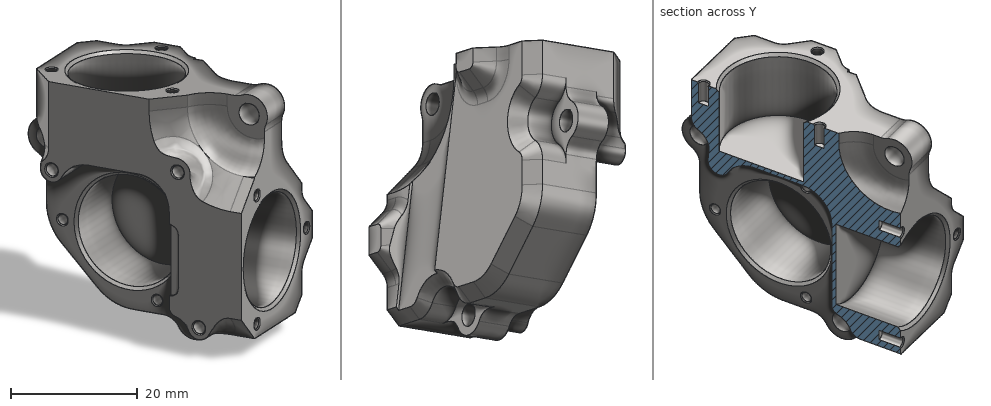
import cadquery as cq
import math

SIDE = 38.9
BACK_Y = 20.64
BACK_CHAMFER = 2.3
CUT_CORNER = 11.77
CUT_CORNER_RADIUS = 9.0

LUG_FRONT_Y = 7.85
LUG_BACK_Y = 13.75
LUG_RADIUS = 3.25
LUG_FILLET = 3.0
LUG_HOLE_DIAMETER = 3.6
LUG_OFFSET = 26.45
LUG_FAR = 36.18
NOTCH_RADIUS = 4.0

RECESS_SIDE = 26.03
RECESS_RADIUS = 5.5
RECESS_LUG_FILLET = 2.0
RECESS_FOOT_FILLET = 1.5
RELIEF_DEPTH = 0.56
RELIEF_WIDTH = 1.62
RELIEF_LENGTH = 12.0
RELIEF_CENTER_Z = 12.48
RELIEF_RADIUS = 1.6

BOSS_RADIUS = 2.0
LEFT_BOSS = (5.03, 24.15)
DIAGONAL_BOSS = (27.5, 27.5)
BOTTOM_BOSS = (
    LUG_OFFSET + math.sqrt((LUG_RADIUS + BOSS_RADIUS) ** 2 - BOSS_RADIUS**2),
    BOSS_RADIUS,
)
BOSS_BLEND = 4.5
LEFT_BLEND = 3.0
FRONT_CHAMFER = 4.5

SCALLOP_CENTER = 36.9
SCALLOP_ARC = 6.0
FRONT_SCALLOP_RADIUS = 14.48
FRONT_FLOOR_RADIUS = 4.64
BACK_FLOOR_RADIUS = 6.5

POCKET_RADIUS = 9.3
POCKET_CHAMFER = 0.5
POCKET_DEPTH = 12.0
SIDE_POCKET_CENTER = (13.0, 10.4)
FRONT_POCKET_CENTER = (14.74, 12.98)
SCREW_CIRCLE_RADIUS = 11.88
SCREW_ANGLE = 115.0
POCKET_SCREW_RADIUS = 0.86
FRONT_SCREW_RADIUS = 1.04
SCREW_CHAMFER = 0.18
SCREW_DEPTH = 4.0

BACK_BOSS_Y = 24.2
BACK_BOSS_HALF_WIDTH = 2.29
BACK_BOSS_LENGTH = 3.23
BACK_BOSS_CORNER = 0.93
BACK_BOSS_FILLET = 3.0
GROOVE_DEPTH = 0.5
GROOVE_TOP_X = 19.85
GROOVE_BOTTOM_X = 27.2
GROOVE_WIDTH = 9.64

OVER = 10.0
MARGIN = 1.0
EPS = 0.01


def front_plane(y):
    """Workplane with local axes X and Z, at depth y; negative extrusion goes to +Y."""
    return cq.Workplane("XZ", origin=(0, y, 0))


def box(x0, x1, y0, y1, z0, z1):
    return cq.Workplane("XY").box(x1 - x0, y1 - y0, z1 - z0, centered=False).translate((x0, y0, z0))


def pillar(center, radius, y0, y1):
    """Cylinder along Y."""
    return front_plane(y0).center(*center).circle(radius).extrude(y0 - y1)


def between(start, end, distance):
    """Point at a distance from start on the way to end."""
    length = math.dist(start, end)
    return tuple(a + (b - a) * distance / length for a, b in zip(start, end))


def swap(shape):
    """Mirror across the plane X = Z."""
    return shape.mirror("XY").rotate((0, 0, 0), (0, 1, 0), -90)


def body_slab():
    """Square slab with one cut-off corner and a rounded corner under the corner lug."""
    slab = front_plane(0).polyline(
        [(CUT_CORNER, 0), (SIDE, 0), (SIDE, SIDE), (0, SIDE), (0, CUT_CORNER)]
    ).close().extrude(-BACK_Y)
    rounded = (
        (CUT_CORNER, 0, CUT_CORNER_RADIUS),
        (0, CUT_CORNER, CUT_CORNER_RADIUS),
        (SIDE, SIDE, LUG_RADIUS),
    )
    for x, z, radius in rounded:
        corner = cq.selectors.BoxSelector(
            (x - MARGIN, 0, z - MARGIN), (x + MARGIN, BACK_Y, z + MARGIN)
        )
        slab = slab.edges("|Y").edges(corner).fillet(radius)
    return slab


def lug_outline_tool(reach, fillet, y0, y1, side):
    """Disc about the left lug blended by fillets into the body's left side.

    side = -1 lies outside the body (the lug itself), side = +1 inside (the notch).
    """
    half = math.sqrt((reach + fillet) ** 2 - fillet**2)
    center = (0, LUG_OFFSET)
    low = (side * fillet, LUG_OFFSET - half)
    high = (side * fillet, LUG_OFFSET + half)
    outline = (
        front_plane(y0)
        .moveTo(-side, low[1] - MARGIN)
        .lineTo(0, low[1] - MARGIN)
        .lineTo(0, low[1])
        .tangentArcPoint(between(center, low, reach), relative=False)
        .tangentArcPoint(between(center, high, reach), relative=False)
        .tangentArcPoint((0, high[1]), relative=False)
        .lineTo(0, high[1] + MARGIN)
        .lineTo(-side, high[1] + MARGIN)
        .close()
    )
    return outline.extrude(y0 - y1)


def corner_lug():
    """Corner lug with its two blends into the top and right sides."""
    rise = SIDE + LUG_FILLET - LUG_FAR
    run = math.sqrt((LUG_RADIUS + LUG_FILLET) ** 2 - rise**2)
    lug_center = (LUG_FAR, LUG_FAR)
    top_blend = (LUG_FAR - run, SIDE + LUG_FILLET)
    right_blend = (SIDE + LUG_FILLET, LUG_FAR - run)
    return (
        front_plane(LUG_FRONT_Y)
        .moveTo(top_blend[0] - MARGIN, SIDE)
        .lineTo(top_blend[0], SIDE)
        .tangentArcPoint(between(lug_center, top_blend, LUG_RADIUS), relative=False)
        .tangentArcPoint(between(lug_center, right_blend, LUG_RADIUS), relative=False)
        .tangentArcPoint((SIDE, right_blend[1]), relative=False)
        .lineTo(SIDE, right_blend[1] - MARGIN)
        .close()
        .extrude(LUG_FRONT_Y - LUG_BACK_Y)
    )


def back_boss():
    """Tapered boss behind the top pocket's rear screw, clipped to the body's top face."""
    boss = (
        front_plane(BACK_BOSS_Y)
        .center(SIDE_POCKET_CENTER[0], SIDE)
        .sketch()
        .rect(2 * BACK_BOSS_HALF_WIDTH, 2 * BACK_BOSS_LENGTH)
        .vertices()
        .fillet(BACK_BOSS_CORNER)
        .finalize()
        .extrude(BACK_BOSS_Y - BACK_Y, taper=-45)
    )
    return boss.intersect(box(0, SIDE, 0, BACK_BOSS_Y, 0, SIDE))


def with_back_bosses(body):
    """Add the bosses of the top and right pockets, filleted into the back face."""
    boss = back_boss()
    body = body.union(boss).union(swap(boss))
    reach = BACK_BOSS_Y - BACK_Y + BACK_BOSS_LENGTH + MARGIN
    half = BACK_BOSS_Y - BACK_Y + BACK_BOSS_HALF_WIDTH + MARGIN
    mid = SIDE_POCKET_CENTER[0]
    low_y = BACK_Y - EPS
    high_y = BACK_Y + EPS
    top_zone = cq.selectors.BoxSelector(
        (mid - half, low_y, SIDE - reach), (mid + half, high_y, SIDE - EPS)
    )
    right_zone = cq.selectors.BoxSelector(
        (SIDE - reach, low_y, mid - half), (SIDE - EPS, high_y, mid + half)
    )
    return body.edges(top_zone + right_zone).fillet(BACK_BOSS_FILLET)


def chamfer_back(body):
    """Chamfer the back edges of the left, bottom and cut-corner sides and of the notches."""
    level = cq.selectors.BoxSelector(
        (-EPS, BACK_Y - EPS, -EPS), (SIDE - EPS, BACK_Y + EPS, SIDE - EPS)
    )
    reach = NOTCH_RADIUS + EPS
    wanted = []
    for edge in body.edges(level).vals():
        bounds = edge.BoundingBox()
        on_left = bounds.xmin < reach and bounds.xmax < CUT_CORNER
        on_bottom = bounds.zmin < reach and bounds.zmax < CUT_CORNER
        at_level = bounds.ymin > BACK_Y - EPS
        if at_level and (on_left or on_bottom):
            wanted.append(edge)
    return body.newObject(wanted).chamfer(BACK_CHAMFER)


def cross_tangent(center_a, radius_a, center_b, radius_b):
    """End points of the upper crossing tangent between two circles, from a to b."""
    dx = center_b[0] - center_a[0]
    dz = center_b[1] - center_a[1]
    angle = math.atan2(dz, dx) + math.acos((radius_a + radius_b) / math.hypot(dx, dz))
    ux = math.cos(angle)
    uz = math.sin(angle)
    point_a = (center_a[0] + radius_a * ux, center_a[1] + radius_a * uz)
    point_b = (center_b[0] - radius_b * ux, center_b[1] - radius_b * uz)
    return point_a, point_b


def front_recess():
    """Cut down to the lugs' front face, winding around the lugs and the front screw bosses."""
    left_lug = (0, LUG_OFFSET)
    bottom_lug = (LUG_OFFSET, 0)
    rise = math.sqrt((LUG_RADIUS + RECESS_LUG_FILLET) ** 2 - RECESS_LUG_FILLET**2)
    top_fillet = (RECESS_LUG_FILLET, LUG_OFFSET + rise)
    lug_end, boss_start = cross_tangent(left_lug, LUG_RADIUS, LEFT_BOSS, BOSS_RADIUS)
    wall_z = RECESS_SIDE - RECESS_RADIUS
    blend_run = math.sqrt((RECESS_RADIUS + BOSS_RADIUS) ** 2 - (LEFT_BOSS[1] - wall_z) ** 2)
    blend = (LEFT_BOSS[0] + blend_run, wall_z)
    foot_x = RECESS_SIDE + RECESS_FOOT_FILLET
    foot_rise = math.sqrt((LUG_RADIUS + RECESS_FOOT_FILLET) ** 2 - (foot_x - LUG_OFFSET) ** 2)
    foot = (foot_x, foot_rise)
    return (
        front_plane(0)
        .moveTo(0, top_fillet[1] + MARGIN)
        .lineTo(0, top_fillet[1])
        .tangentArcPoint(between(left_lug, top_fillet, LUG_RADIUS), relative=False)
        .tangentArcPoint(lug_end, relative=False)
        .lineTo(*boss_start)
        .tangentArcPoint(between(LEFT_BOSS, blend, BOSS_RADIUS), relative=False)
        .tangentArcPoint((blend[0], RECESS_SIDE), relative=False)
        .lineTo(RECESS_SIDE - RECESS_RADIUS, RECESS_SIDE)
        .tangentArcPoint((RECESS_SIDE, wall_z), relative=False)
        .lineTo(RECESS_SIDE, foot[1])
        .tangentArcPoint(between(bottom_lug, foot, LUG_RADIUS), relative=False)
        .tangentArcPoint(between(bottom_lug, BOTTOM_BOSS, LUG_RADIUS), relative=False)
        .tangentArcPoint((BOTTOM_BOSS[0], 0), relative=False)
        .lineTo(BOTTOM_BOSS[0], -OVER)
        .lineTo(-OVER, -OVER)
        .lineTo(-OVER, top_fillet[1] + MARGIN)
        .close()
        .extrude(-LUG_FRONT_Y)
    )


def relief_pocket():
    """Shallow rounded step in the front face along the recess wall."""
    half = RELIEF_LENGTH / 2
    pocket = box(
        RECESS_SIDE - 2 * RELIEF_WIDTH, RECESS_SIDE + RELIEF_WIDTH, 0, RELIEF_DEPTH,
        RELIEF_CENTER_Z - half, RELIEF_CENTER_Z + half,
    )
    return pocket.edges("|Y and >X").fillet(RELIEF_RADIUS)


def left_chamfer():
    """45-degree cut on the upper left front edge, ending in a cone beside the left boss."""
    wedge = (
        cq.Workplane("XY", origin=(0, 0, LEFT_BOSS[1]))
        .polyline([(0, 0), (FRONT_CHAMFER, 0), (0, FRONT_CHAMFER)])
        .close()
        .extrude(SIDE)
    )
    cone_x = FRONT_CHAMFER - LEFT_BLEND
    reach = LEFT_BLEND + BOSS_RADIUS
    cone_z = LEFT_BOSS[1] + math.sqrt(reach**2 - (LEFT_BOSS[0] - cone_x) ** 2)
    cone = cq.Workplane(cq.Solid.makeCone(
        LEFT_BLEND, 0, LEFT_BLEND, pnt=cq.Vector(cone_x, 0, cone_z), dir=cq.Vector(0, 1, 0)
    ))
    cone = cone.intersect(box(-OVER, OVER, 0, OVER, LEFT_BOSS[1], cone_z))
    boss = pillar(LEFT_BOSS, BOSS_RADIUS, 0, LUG_FRONT_Y)
    below = box(-OVER, OVER, 0, OVER, 0, cone_z)
    return wedge.cut(below).union(cone.cut(boss))


def blended_boss_cut(tool, boss):
    """Leave a round boss standing in a sloped cut, with a fillet around its foot."""
    pierced = tool.cut(pillar(boss, BOSS_RADIUS, -2 * OVER, 2 * OVER))
    near = cq.selectors.BoxSelector(
        (boss[0] - MARGIN, -OVER + EPS, boss[1] - MARGIN),
        (boss[0] + MARGIN, OVER, boss[1] + MARGIN),
    )
    foot = [e for e in pierced.edges(near).vals() if e.geomType() not in ("LINE", "CIRCLE")]
    return pierced.newObject(foot).fillet(BOSS_BLEND)


def bottom_chamfer():
    """45-degree cut on the lower right front edge, stopping at the bottom boss."""
    wedge = (
        cq.Workplane("YZ", origin=(BOTTOM_BOSS[0] - OVER, 0, 0))
        .polyline([(-OVER, -OVER), (FRONT_CHAMFER + OVER, -OVER), (-OVER, FRONT_CHAMFER + OVER)])
        .close()
        .extrude(3 * OVER)
    )
    cut = blended_boss_cut(wedge, BOTTOM_BOSS)
    return cut.intersect(box(BOTTOM_BOSS[0], SIDE + OVER, -OVER, OVER, -OVER, OVER))


def swept_corner(profile):
    """Turn a (distance, Y) profile about the scallop axis, then run it out past both sides."""
    mid = SCALLOP_CENTER
    turned = profile(cq.Workplane("XY")).revolve(360, (0, 0, 0), (0, 1, 0)).translate((mid, 0, mid))
    arm = profile(cq.Workplane("XY")).extrude(OVER).mirror("YZ").translate((mid, 0, mid))
    filler = profile(cq.Workplane("XY")).extrude(OVER).translate((mid, 0, mid))
    return turned, arm.union(swap(arm)).union(filler)


def front_scallop():
    """Tools for the bowl before the corner lug: a 45-degree flare, then an arc to the lug face."""
    floor = LUG_FRONT_Y
    throat_y = FRONT_CHAMFER
    throat = FRONT_SCALLOP_RADIUS - throat_y
    arc_y = floor - SCALLOP_ARC
    angle = (math.asin((throat_y - arc_y) / SCALLOP_ARC) + math.pi / 2) / 2
    middle = (
        FRONT_FLOOR_RADIUS + SCALLOP_ARC * math.cos(angle),
        arc_y + SCALLOP_ARC * math.sin(angle),
    )

    def bowl(plane):
        return (
            plane.moveTo(0, 0).lineTo(throat, 0).lineTo(throat, throat_y)
            .threePointArc(middle, (FRONT_FLOOR_RADIUS, floor)).lineTo(0, floor).close()
        )

    def flare(plane):
        return plane.polyline(
            [(0, 0), (FRONT_SCALLOP_RADIUS, 0), (throat, throat_y), (0, throat_y)]
        ).close()

    turned_bowl, bowl_arms = swept_corner(bowl)
    flare_arms = swept_corner(flare)[1]
    cone = cq.Workplane(cq.Solid.makeCone(
        FRONT_SCALLOP_RADIUS + OVER, 0, FRONT_SCALLOP_RADIUS + OVER,
        pnt=cq.Vector(SCALLOP_CENTER, -OVER, SCALLOP_CENTER), dir=cq.Vector(0, 1, 0),
    ))
    cone = blended_boss_cut(cone, DIAGONAL_BOSS)
    cone = cone.intersect(box(0, 2 * SIDE, 0, throat_y, 0, 2 * SIDE))
    return [cone, turned_bowl, bowl_arms, flare_arms]


def back_scallop():
    """Tools for the bowl behind the corner lug: a 45-degree slope tangent to an arc."""
    bend = math.radians(45)
    arc_y = LUG_BACK_Y + SCALLOP_ARC
    end = (
        BACK_FLOOR_RADIUS + SCALLOP_ARC * math.sin(bend),
        arc_y - SCALLOP_ARC * math.cos(bend),
    )
    rim_y = BACK_Y + MARGIN
    rim = end[0] + rim_y - end[1]

    def bowl(plane):
        return (
            plane.moveTo(0, LUG_BACK_Y).lineTo(BACK_FLOOR_RADIUS, LUG_BACK_Y)
            .tangentArcPoint(end, relative=False).lineTo(rim, rim_y).lineTo(0, rim_y).close()
        )

    return list(swept_corner(bowl))


def back_groove():
    """Shallow slanted channel across the back face."""
    slope = (GROOVE_BOTTOM_X - GROOVE_TOP_X) / SIDE
    high = (GROOVE_TOP_X - slope * OVER, SIDE + OVER)
    low = (GROOVE_BOTTOM_X + slope * OVER, -OVER)
    floor = BACK_Y - GROOVE_DEPTH
    return (
        front_plane(floor)
        .polyline([high, low, (low[0] + GROOVE_WIDTH, low[1]), (high[0] + GROOVE_WIDTH, high[1])])
        .close()
        .extrude(-OVER)
    )


def chamfered_bore(radius, depth, chamfer):
    """Blind bore along -Z from the origin, with a chamfered mouth."""
    bore = cq.Workplane("XY").circle(radius).extrude(-depth)
    mouth = cq.Solid.makeCone(
        radius, radius + chamfer, chamfer, pnt=cq.Vector(0, 0, -chamfer), dir=cq.Vector(0, 0, 1)
    )
    return bore.union(cq.Workplane(mouth))


def sensor_pocket():
    """Pocket with three screw holes, opening at the origin towards +Z, single screw on +Y."""
    pocket = chamfered_bore(POCKET_RADIUS, POCKET_DEPTH, POCKET_CHAMFER)
    screw = chamfered_bore(POCKET_SCREW_RADIUS, SCREW_DEPTH, SCREW_CHAMFER)
    for turn in (0, SCREW_ANGLE, -SCREW_ANGLE):
        placed = screw.translate((0, SCREW_CIRCLE_RADIUS, 0)).rotate((0, 0, 0), (0, 0, 1), turn)
        pocket = pocket.union(placed)
    return pocket


def pockets():
    """The pockets in the top face, the right face and the recess floor."""
    pocket = sensor_pocket()
    top = pocket.translate((*SIDE_POCKET_CENTER, SIDE))
    front = pocket.rotate((0, 0, 0), (0, 0, 1), 90).rotate((0, 0, 0), (1, 0, 0), 90)
    front = front.translate((FRONT_POCKET_CENTER[0], LUG_FRONT_Y, FRONT_POCKET_CENTER[1]))
    return [top, swap(top), front]


def front_screws():
    """Screw holes in the three front bosses."""
    screw = chamfered_bore(FRONT_SCREW_RADIUS, SCREW_DEPTH, SCREW_CHAMFER)
    screw = screw.rotate((0, 0, 0), (1, 0, 0), 90)
    return [screw.translate((x, 0, z)) for x, z in (LEFT_BOSS, DIAGONAL_BOSS, BOTTOM_BOSS)]


def build():
    body = with_back_bosses(body_slab())
    notch = lug_outline_tool(NOTCH_RADIUS, NOTCH_RADIUS, LUG_BACK_Y, BACK_Y + MARGIN, 1)
    body = body.cut(notch).cut(swap(notch))
    body = chamfer_back(body)
    cuts = [front_recess(), relief_pocket(), left_chamfer(), bottom_chamfer(), back_groove()]
    for tool in cuts + front_scallop() + back_scallop():
        body = body.cut(tool)
    lug = lug_outline_tool(LUG_RADIUS, LUG_FILLET, LUG_FRONT_Y, LUG_BACK_Y, -1)
    body = body.union(lug).union(swap(lug)).union(corner_lug())
    for tool in pockets() + front_screws():
        body = body.cut(tool)
    for center in ((0, LUG_OFFSET), (LUG_OFFSET, 0), (LUG_FAR, LUG_FAR)):
        body = body.cut(pillar(center, LUG_HOLE_DIAMETER / 2, 0, BACK_Y))
    return body


result = build()